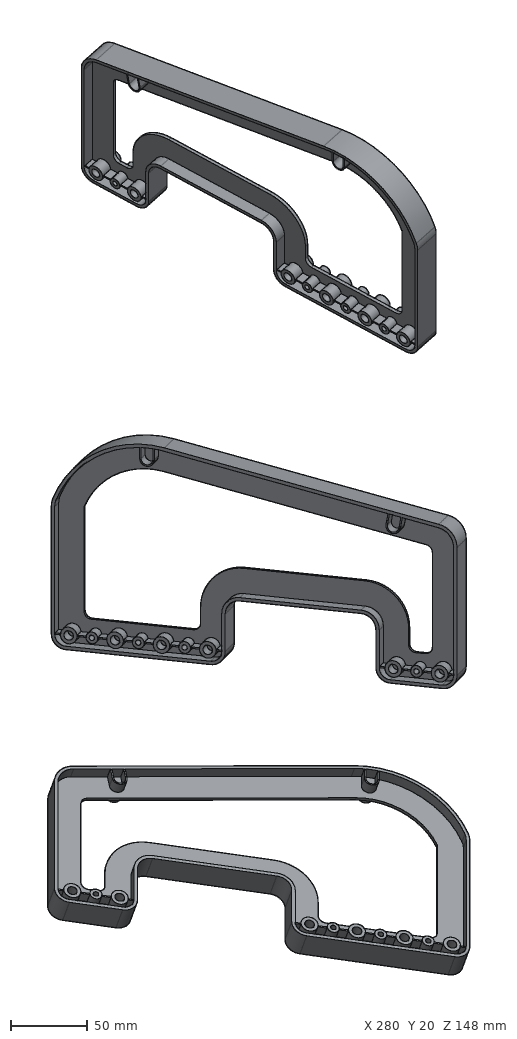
import cadquery as cq
import math

length = 280.0
depth = 20.0
height = 148.0

band_width = 20.0
wall = 2.4
web = 2.5
web_face = web / 2
recess_depth = depth / 2 - web_face

end_inset = 12.0
boss_z = 10.0
pitch_count = 16
pitch = (length - 2 * end_inset) / pitch_count
large_boss_positions = (0, 2, 10, 12, 14, 16)
small_boss_positions = (1, 11, 13, 15)
large_boss_diameter = 11.5
large_bore_diameter = 6.5
small_boss_diameter = 8.0
small_bore_diameter = 3.5

left_foot_pitches = 2
right_foot_pitches = 6
left_foot_width = 2 * end_inset + left_foot_pitches * pitch
right_foot_width = 2 * end_inset + right_foot_pitches * pitch
notch_left = left_foot_width
notch_right = length - right_foot_width
notch_height = 46.2
foot_radius = 10.0
notch_radius = foot_radius

slope = math.radians(10)
arc_radius = 70.0
arc_x = 214.0
arc_z = height - arc_radius
top_left_radius = 15.0
right_shoulder_radius = top_left_radius
window_radius = 5.0
window_notch_radius = notch_radius + band_width

rib_thickness = 1.0
tie_rib_drop = 1.0
u_rib_radius = 5.0
u_rib_inset = 10.0
left_u_x = end_inset + left_foot_pitches * pitch


def slope_z(x, inset=0):
    """Height at x of the sloping top edge, moved inward by inset."""
    return arc_z + (arc_radius - inset) / math.cos(slope) - (arc_x - x) * math.tan(slope)


def on_arc(radius, angle):
    """Point on a circle about the large arc's centre, angle measured from +Z toward +X."""
    return (arc_x + radius * math.sin(angle), arc_z + radius * math.cos(angle))


def profile(inset):
    """Solid of the contour moved inward by inset, with its sharp corners and the arc's right end."""
    left = inset
    right = length - inset
    bottom = inset
    radius = arc_radius - inset
    end_angle = math.asin((right - arc_x) / radius)
    corners = [
        (right, bottom),
        (notch_right + inset, bottom),
        (notch_right + inset, notch_height + inset),
        (notch_left - inset, notch_height + inset),
        (notch_left - inset, bottom),
        (left, bottom),
        (left, slope_z(left, inset)),
    ]
    shoulder = on_arc(radius, end_angle)
    wire = (
        cq.Workplane("XZ")
        .polyline(corners)
        .lineTo(*on_arc(radius, -slope))
        .threePointArc(on_arc(radius, (end_angle - slope) / 2), shoulder)
        .close()
    )
    return wire.extrude(depth / 2, both=True), corners, shoulder


def round_corners(solid, corners, radius):
    """Fillet the edges along Y that pass through the given (x, z) corners."""
    for x, z in corners:
        edge = cq.selectors.NearestToPointSelector((x, 0, z))
        solid = solid.edges("|Y").edges(edge).fillet(radius)
    return solid


def outer_block():
    """Full-depth block with the rounded outer contour of the frame."""
    block, corners, shoulder = profile(0)
    feet = corners[:2] + corners[4:6]
    block = round_corners(block, feet, foot_radius)
    block = round_corners(block, corners[2:4], notch_radius)
    block = round_corners(block, corners[6:], top_left_radius)
    return round_corners(block, [shoulder], right_shoulder_radius)


def window_block():
    """Full-depth block that opens the inside of the frame, one band width from the contour."""
    block, corners, _ = profile(band_width)
    tight_corners = corners[:2] + corners[4:]
    block = round_corners(block, tight_corners, window_radius)
    return round_corners(block, corners[2:4], window_notch_radius)


def front_recess(block):
    """Pocket in front of the web, one wall thickness inside the outer contour."""
    outline = block.faces("<Y").wires().toPending().offset2D(-wall)
    return outline.extrude(-recess_depth, combine=False)


def web_plane():
    """Workplane on the front face of the web, facing out of the recess."""
    return cq.Workplane("XZ", origin=(0, -web_face, 0))


def boss_points(positions):
    """Boss centres (x, z) at the given places along the pitch."""
    return [(end_inset + pitch * i, boss_z) for i in positions]


def pegs(positions, diameter):
    """Cylinders from the web to the front plane, centred on the boss row."""
    return web_plane().pushPoints(boss_points(positions)).circle(diameter / 2).extrude(recess_depth)


def tie_rib():
    """Straight rib, slightly lower than the rim, through the boss row of both feet."""
    rib_height = recess_depth - tie_rib_drop
    left_foot_center = left_foot_width / 2
    right_foot_center = length - right_foot_width / 2
    left_rib = web_plane().center(left_foot_center, boss_z).rect(left_foot_width - wall, rib_thickness)
    right_rib = web_plane().center(right_foot_center, boss_z).rect(right_foot_width - wall, rib_thickness)
    return left_rib.extrude(rib_height).union(right_rib.extrude(rib_height))


def u_rib(x, z, tilt):
    """U-shaped rib, open toward the top wall, with its round end centred at (x, z)."""
    inner_radius = u_rib_radius - rib_thickness
    leg = u_rib_inset - wall / 2

    def tongue(radius):
        straight_part = web_plane().center(0, leg / 2).rect(2 * radius, leg).extrude(recess_depth)
        round_end = web_plane().circle(radius).extrude(recess_depth)
        return straight_part.union(round_end)

    rib = tongue(u_rib_radius).cut(tongue(inner_radius))
    return rib.rotate((0, 0, 0), (0, 1, 0), -math.degrees(tilt)).translate((x, 0, z))


outer = outer_block()
recess = front_recess(outer)
front_ribs = (
    tie_rib()
    .union(u_rib(arc_x, height - u_rib_inset, 0))
    .union(u_rib(left_u_x, slope_z(left_u_x, u_rib_inset), slope))
    .union(pegs(large_boss_positions, large_boss_diameter))
    .union(pegs(small_boss_positions, small_boss_diameter))
    .cut(pegs(large_boss_positions, large_bore_diameter))
    .cut(pegs(small_boss_positions, small_bore_diameter))
)

result = (
    outer.cut(recess)
    .cut(recess.mirror("XZ"))
    .cut(window_block())
    .union(front_ribs)
    .union(front_ribs.mirror("XZ"))
)